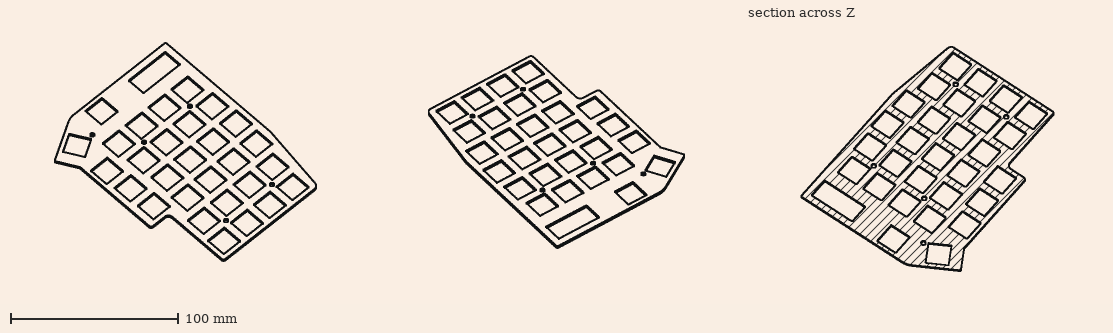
import cadquery as cq
import math

plate_width = 139.0
plate_depth = 107.8
plate_thickness = 1.7

slope_start_x = 90.7
slope_end_y = 100.5
right_bottom_y = 22.2
thumb_right_x = 91.6
thumb_bottom_y = 7.6
tip_x = 16.4
thumb_angle = 30.0

top_left_radius = 1.0
small_radius = 1.7
medium_radius = 3.0
left_bend_radius = 12.5
tip_radius = 0.8

key_size = 13.8
first_column_x = 34.0
last_column_x = 128.9
top_row_centers_y = [93.3, 95.7, 97.0, 95.7, 91.0, 89.4]
row_count = 4
key_pitch = (last_column_x - first_column_x) / (len(top_row_centers_y) - 1)

thumb_first_x = first_column_x + key_pitch / 2
thumb_centers_y = [17.4, 18.8, 19.7]
side_key_center = (9.7, 45.3)
tilted_key_center = (17.5, 17.4)

window_width = 12.8
window_height = 30.3
window_center = (11.1, 87.7)

screw_diameter = 2.6
left_screw_x = 43.7
left_screw_top_y = 86.0
right_screw_x = 119.0
right_screw_top_y = 81.6
screw_spacing = 2 * key_pitch
thumb_screw = (18.4, 29.3)


def make_plate():
    """Flat plate with its corners rounded; only the slope start and the thumb bend stay sharp."""
    slope = math.tan(math.radians(thumb_angle))
    tip_center_rise = tip_radius * math.sqrt(2) * math.sin(math.radians(45 + thumb_angle))
    tip_y = tip_radius - tip_center_rise
    tip = (tip_x, tip_y)
    left_bend = (0, tip_y + tip_x / slope)
    top_left = (0, plate_depth)
    slope_start = (slope_start_x, plate_depth)
    top_right = (plate_width, slope_end_y)
    bottom_right = (plate_width, right_bottom_y)
    inner_corner = (thumb_right_x, right_bottom_y)
    thumb_corner = (thumb_right_x, thumb_bottom_y)
    thumb_bend = (tip_x + (thumb_bottom_y - tip_y) / slope, thumb_bottom_y)

    outline = [
        tip, left_bend, top_left, slope_start, top_right,
        bottom_right, inner_corner, thumb_corner, thumb_bend,
    ]
    plate = cq.Workplane("XY").polyline(outline).close().extrude(plate_thickness)

    corner_radii = [
        (tip, tip_radius),
        (left_bend, left_bend_radius),
        (top_left, top_left_radius),
        (top_right, medium_radius),
        (bottom_right, small_radius),
        (inner_corner, medium_radius),
        (thumb_corner, small_radius),
    ]
    for (x, y), radius in corner_radii:
        corner_edge = cq.NearestToPointSelector((x, y, plate_thickness / 2))
        plate = plate.edges("|Z").edges(corner_edge).fillet(radius)
    return plate


def key_centers():
    """Centers of all upright switch cutouts."""
    centers = [side_key_center]
    for column, top_y in enumerate(top_row_centers_y):
        x = first_column_x + column * key_pitch
        for row in range(row_count):
            centers.append((x, top_y - row * key_pitch))
    for index, y in enumerate(thumb_centers_y):
        centers.append((thumb_first_x + index * key_pitch, y))
    return centers


def screw_centers():
    """Centers of the two screw pairs and of the single screw beside the tilted key."""
    centers = [thumb_screw]
    for x, top_y in [(left_screw_x, left_screw_top_y), (right_screw_x, right_screw_top_y)]:
        centers.append((x, top_y))
        centers.append((x, top_y - screw_spacing))
    return centers


def rectangle_cutters(centers, width, height, angle=0.0):
    """Rectangular prisms through the plate, each turned by angle about its own center."""
    sketch = cq.Sketch().rect(width, height, angle=angle)
    return cq.Workplane("XY").pushPoints(centers).placeSketch(sketch).extrude(plate_thickness)


result = make_plate()
result = result.cut(rectangle_cutters(key_centers(), key_size, key_size))
result = result.cut(rectangle_cutters([tilted_key_center], key_size, key_size, thumb_angle))
result = result.cut(rectangle_cutters([window_center], window_width, window_height))
screws = cq.Workplane("XY").pushPoints(screw_centers()).circle(screw_diameter / 2).extrude(plate_thickness)
result = result.cut(screws)